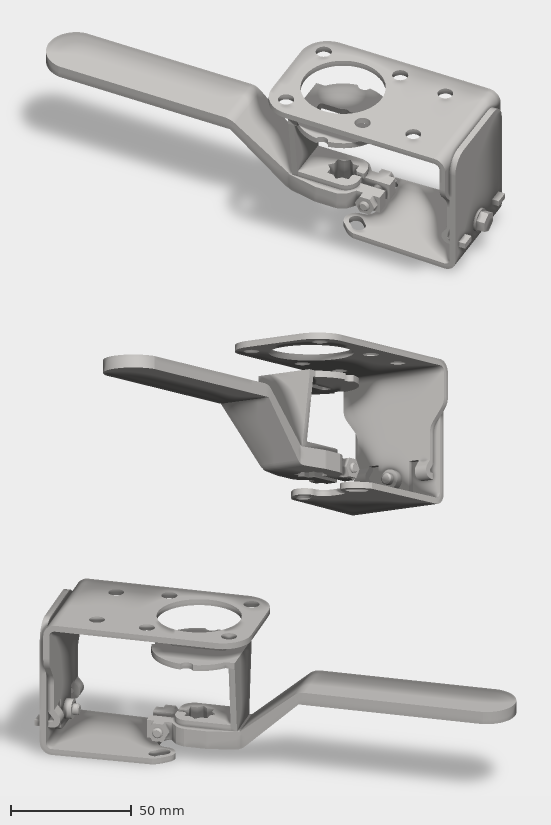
import cadquery as cq
import math

SHEET = 2.6
BEND_INSIDE = 2.5
BEND_OUTSIDE = BEND_INSIDE + SHEET
THREAD_CHAMFER = 0.6
STEM_X = 135.8

TOTAL_HEIGHT = 60.0
CONTACT_X = 195.7

UPPER_START_X = 109.5
UPPER_WIDTH = 52.0
UPPER_CORNER_R = 12.2
STEM_OPENING_D = 35.3
FLANGE_HOLE_PITCH = 35.3
FLANGE_HOLE_D = 6.7
REAR_HOLE_X = 175.5
REAR_HOLE_PITCH = 30.0
REAR_HOLE_D = 6.5
SHOULDER_TOP_Z = 42.0
SHOULDER_BOTTOM_Z = 32.9
SHOULDER_R = 7.3

HOOK_OUTER_Y = 18.7
HOOK_INNER_Y = 12.8
HOOK_SLIT_TOP_Z = 19.5
HOOK_FOOT_Z = 11.0
HOOK_LEAN = 39.0
HOOK_BEND_X = 193.8
HOOK_BEND_INSIDE = 0.8
HOOK_END_X = 201.3
TONGUE_HALF_WIDTH = 8.0
TONGUE_BOTTOM_Z = 5.3
TONGUE_CORNER_R = 2.0

LOWER_START_X = 142.7
LOWER_WIDTH = 43.6
LOWER_TIP_WIDTH = 41.2
LOWER_HEIGHT = 58.9
LOWER_CORNER_R = 8.0
EAR_R = 5.0
EAR_FIRST_Y = 12.4
EAR_SLOT_STEP = 2.6
PADLOCK_SLOT_W = 5.9
VALLEY_HALF_WIDTH = 2.2

BOLT_Z = 12.2
BOLT_D = 4.9
BOLT_START_X = 187.1
BOLT_END_X = 203.0
COLLAR_D = 8.5
COLLAR_START_X = 189.8
WASHER_D = 10.1
WASHER_T = 1.0
BOLT_HEAD_CORNERS = 9.1

LOCK_X = 117.0
DISC_TOP_Z = 46.3
DISC_R = 19.9
DISC_NOTCH_R = 2.8
DISC_NOTCH_OFFSET = 20.5
WEB_TOP_HALF_WIDTH = 13.2
WEB_FOOT_HALF_WIDTH = 9.5
LOCK_FOOT_END_X = 145.0
LOCK_FOOT_HALF_WIDTH = 9.7
LOCK_FOOT_CORNER_R = 6.0
LOCK_FOOT_SLIT = 2.2
POINTER_SLOT_L = 23.3
POINTER_SLOT_W = 4.3
POINTER_SLOT_CORNER_R = 1.5
POINTER_HOLE_D = 5.7

HUB_BOTTOM_Z = 6.0
HUB_TOP_Z = 14.0
GRIP_BOTTOM_Z = 30.5
GRIP_TOP_Z = 36.0
GRIP_HALF_WIDTH = 12.4
GRIP_END_L = 10.5
NECK_START_X = 89.7
NECK_BLEND_R = 34.5
NECK_HALF_WIDTH = 9.7
SLOPE_TOP_START_X = 89.7
SLOPE_BOTTOM_START_X = 89.7
SLOPE_TOP_END_X = 115.9
SLOPE_BOTTOM_END_X = 115.3
GRIP_BEND_R = 7.3
HUB_BEND_R = 6.0
HUB_HALF_WIDTH = 12.5
HUB_SIDE_START_X = 129.0
HUB_SIDE_END_X = 138.8
HUB_BLEND_R = 5.3
HUB_END_X = 142.7
LUG_START_X = 145.5
LUG_END_X = 156.3
LUG_HALF_WIDTH = 7.3
CLAMP_SLIT = 4.0
STEM_SQUARE = 10.0
CLAMP_SCREW_X = 150.8
CLAMP_SCREW_D = 4.5
CLAMP_SCREW_HALF_L = 11.5
CLAMP_NUT_CORNERS = 9.1
CLAMP_NUT_T = 3.0


def box(x0, x1, y0, y1, z0, z1):
    """Axis-aligned block between two opposite corners."""
    return cq.Workplane("XY").box(x1 - x0, y1 - y0, z1 - z0, centered=False).translate((x0, y0, z0))


def slab(z0, z1):
    """Sketch plane at z0 together with the height up to z1."""
    return cq.Workplane("XY").workplane(offset=z0), z1 - z0


def side_profile(points, width):
    """Solid with the given X-Z outline, centred on Y = 0."""
    return cq.Workplane("XZ").polyline(points).close().extrude(width / 2, both=True)


def round_at(solid, x, z, radius):
    """Fillet the edge running along Y through the given X-Z point."""
    margin = 0.1
    reach = 101.5
    selector = cq.selectors.BoxSelector(
        (x - margin, -reach, z - margin), (x + margin, reach, z + margin))
    return solid.edges("|Y").edges(selector).fillet(radius)


def x_cylinder(diameter, x0, x1):
    """Cylinder on the bracket bolt axis."""
    return cq.Workplane("YZ").workplane(offset=x0).center(0, BOLT_Z).circle(diameter / 2).extrude(x1 - x0)


def mirrored(solid):
    """The solid together with its copy on the other side of Y = 0."""
    return solid.union(solid.mirror("XZ"))


def upper_blank():
    """Top flange and upright, bent from one sheet."""
    inner_x = CONTACT_X - SHEET
    under_z = TOTAL_HEIGHT - SHEET
    blank = side_profile([
        (UPPER_START_X, TOTAL_HEIGHT), (CONTACT_X, TOTAL_HEIGHT), (CONTACT_X, TONGUE_BOTTOM_Z),
        (inner_x, TONGUE_BOTTOM_Z), (inner_x, under_z), (UPPER_START_X, under_z),
    ], UPPER_WIDTH)
    blank = round_at(blank, CONTACT_X, TOTAL_HEIGHT, BEND_OUTSIDE)
    blank = round_at(blank, inner_x, under_z, BEND_INSIDE)
    return blank.edges("|Z").edges("<X").fillet(UPPER_CORNER_R)


def upright_side_relief():
    """Material removed beside the upright: shoulders, hook slits and below the hooks."""
    inner_x = CONTACT_X - SHEET
    outside = UPPER_WIDTH
    shoulder = (
        cq.Workplane("YZ").workplane(offset=inner_x)
        .polyline([
            (UPPER_WIDTH / 2, SHOULDER_TOP_Z), (HOOK_OUTER_Y, SHOULDER_BOTTOM_Z),
            (HOOK_OUTER_Y, 0), (outside, 0), (outside, SHOULDER_TOP_Z),
        ]).close().extrude(SHEET)
    )
    slit = box(inner_x, CONTACT_X, TONGUE_HALF_WIDTH, HOOK_INNER_Y, 0, HOOK_SLIT_TOP_Z)
    below = box(inner_x, CONTACT_X, HOOK_INNER_Y, outside, 0, hook_root_z(HOOK_BEND_INSIDE + SHEET, inner_x))
    return mirrored(shoulder.union(slit).union(below))


def round_shoulders(upright):
    """Blend the narrowing of the upright."""
    margin = 0.2
    for side in (1, -1):
        for y, z in ((UPPER_WIDTH / 2, SHOULDER_TOP_Z), (HOOK_OUTER_Y, SHOULDER_BOTTOM_Z)):
            corner = cq.selectors.BoxSelector(
                (0, side * y - margin, z - margin), (BOLT_END_X, side * y + margin, z + margin))
            upright = upright.edges("|X").edges(corner).fillet(SHOULDER_R)
    return upright


def upper_holes():
    """Stem opening, four flange holes and two rear holes."""
    plane, depth = slab(TOTAL_HEIGHT - SHEET, TOTAL_HEIGHT)
    plane = plane.center(STEM_X, 0)
    opening = plane.circle(STEM_OPENING_D / 2).extrude(depth)
    flange = plane.rect(FLANGE_HOLE_PITCH, FLANGE_HOLE_PITCH, forConstruction=True).vertices()
    flange = flange.circle(FLANGE_HOLE_D / 2).extrude(depth)
    half_pitch = REAR_HOLE_PITCH / 2
    rear = plane.center(REAR_HOLE_X - STEM_X, 0).pushPoints([(0, half_pitch), (0, -half_pitch)])
    rear = rear.circle(REAR_HOLE_D / 2).extrude(depth)
    return opening.union(flange).union(rear)


def bend_point(radius, angle):
    """X-Z point on the hook bend, the angle measured upward from the -X direction."""
    centre_z = HOOK_FOOT_Z + SHEET + HOOK_BEND_INSIDE
    turn = math.radians(angle)
    return (HOOK_BEND_X - radius * math.cos(turn), centre_z + radius * math.sin(turn))


def hook_root_z(radius, upright_x):
    """Height where a slanted hook face meets a face of the upright."""
    x, z = bend_point(radius, HOOK_LEAN)
    return z + (upright_x - x) / math.tan(math.radians(HOOK_LEAN))


def hook():
    """Hook that slants away from the upright and curls back through the lower upright."""
    inner_x = CONTACT_X - SHEET
    inside = HOOK_BEND_INSIDE
    outside = inside + SHEET
    middle_angle = (HOOK_LEAN - 90) / 2
    foot_top = HOOK_FOOT_Z + SHEET
    outer_root = hook_root_z(outside, inner_x)
    profile = (
        cq.Workplane("XZ").moveTo(inner_x, outer_root)
        .lineTo(*bend_point(outside, HOOK_LEAN))
        .threePointArc(bend_point(outside, middle_angle), bend_point(outside, -90))
        .lineTo(HOOK_END_X, HOOK_FOOT_Z).lineTo(HOOK_END_X, foot_top)
        .lineTo(*bend_point(inside, -90))
        .threePointArc(bend_point(inside, middle_angle), bend_point(inside, HOOK_LEAN))
        .lineTo(CONTACT_X, hook_root_z(inside, CONTACT_X)).lineTo(CONTACT_X, outer_root).close()
        .extrude((HOOK_OUTER_Y - HOOK_INNER_Y) / 2, both=True)
    )
    return profile.translate((0, (HOOK_OUTER_Y + HOOK_INNER_Y) / 2, 0))


def upper_bracket():
    upright = round_shoulders(upper_blank().cut(upright_side_relief()))
    upright = upright.edges("|X").edges("<Z").fillet(TONGUE_CORNER_R)
    return upright.cut(upper_holes()).union(mirrored(hook()))


def lower_blank():
    """Bottom flange and upright, bent from one sheet."""
    outer_x = CONTACT_X + SHEET
    blank = side_profile([
        (LOWER_START_X, 0), (outer_x, 0), (outer_x, LOWER_HEIGHT),
        (CONTACT_X, LOWER_HEIGHT), (CONTACT_X, SHEET), (LOWER_START_X, SHEET),
    ], LOWER_WIDTH)
    blank = round_at(blank, outer_x, 0, BEND_OUTSIDE)
    blank = round_at(blank, CONTACT_X, SHEET, BEND_INSIDE)
    return blank.edges("|X").edges(">Z").fillet(LOWER_CORNER_R)


def lower_flange_outline():
    """Plan of the bottom flange: tapered sides, two padlock ears and the valley between."""
    root_x = CONTACT_X + SHEET
    diagonal = EAR_R * math.sqrt(0.5)
    first = (LOWER_START_X + EAR_R, EAR_FIRST_Y)
    second = (first[0] + EAR_SLOT_STEP, first[1] + EAR_SLOT_STEP)
    ear_inner_y = EAR_FIRST_Y - EAR_R
    valley_r = ear_inner_y - VALLEY_HALF_WIDTH
    valley_x = first[0] + valley_r
    valley_diagonal = valley_r * math.sqrt(0.5)
    plane, height = slab(0, SHEET)
    half = (
        plane.moveTo(root_x, 0).lineTo(root_x, LOWER_WIDTH / 2)
        .lineTo(CONTACT_X - BEND_INSIDE, LOWER_WIDTH / 2)
        .lineTo(second[0], LOWER_TIP_WIDTH / 2)
        .threePointArc(
            (second[0] - EAR_R * math.sin(math.pi / 8), second[1] + EAR_R * math.cos(math.pi / 8)),
            (second[0] - diagonal, second[1] + diagonal))
        .lineTo(first[0] - diagonal, first[1] + diagonal)
        .threePointArc((LOWER_START_X, first[1]), (first[0], ear_inner_y))
        .threePointArc(
            (first[0] + valley_diagonal, VALLEY_HALF_WIDTH + valley_diagonal),
            (valley_x, VALLEY_HALF_WIDTH))
        .lineTo(valley_x, 0).close().extrude(height)
    )
    return mirrored(half)


def padlock_slots():
    """Obround slots across the two ears."""
    length = EAR_SLOT_STEP * math.sqrt(2) + PADLOCK_SLOT_W
    x = LOWER_START_X + EAR_R + EAR_SLOT_STEP / 2
    y = EAR_FIRST_Y + EAR_SLOT_STEP / 2
    plane, height = slab(0, SHEET)
    return mirrored(plane.center(x, y).slot2D(length, PADLOCK_SLOT_W, 45).extrude(height))


def lower_bracket():
    blank = lower_blank()
    flange_x = CONTACT_X - BEND_INSIDE
    flat = box(LOWER_START_X, flange_x, -LOWER_WIDTH, LOWER_WIDTH, 0, SHEET)
    flange = lower_flange_outline().intersect(flat)
    return blank.cut(flat).union(flange).cut(padlock_slots())


def bracket_bolt():
    """Bolt through both uprights with its collar, washer and hexagon head."""
    outer_x = CONTACT_X + SHEET
    head_x = outer_x + WASHER_T
    shank = x_cylinder(BOLT_D, BOLT_START_X, BOLT_END_X).faces("<X").chamfer(THREAD_CHAMFER)
    collar = x_cylinder(COLLAR_D, COLLAR_START_X, CONTACT_X)
    washer = x_cylinder(WASHER_D, outer_x, head_x)
    head = (
        cq.Workplane("YZ").workplane(offset=head_x).center(0, BOLT_Z)
        .transformed(rotate=(0, 0, 90)).polygon(6, BOLT_HEAD_CORNERS).extrude(BOLT_END_X - head_x)
    )
    return shank.union(collar).union(washer).union(head)


def make_bracket():
    """Both bent sheets joined by the hooks and the bolt."""
    return upper_bracket().union(lower_bracket()).union(bracket_bolt())


def stem_bore(z0, z1):
    plane, height = slab(z0, z1)
    square = plane.center(STEM_X, 0).rect(STEM_SQUARE, STEM_SQUARE).extrude(height)
    return square.union(square.rotate((STEM_X, 0, 0), (STEM_X, 0, 1), 45))


def lock_disc():
    """Top disc with three edge notches, a straight-sided neck and the pointer slot."""
    plane, height = slab(DISC_TOP_Z - SHEET, DISC_TOP_Z)
    disc = plane.center(STEM_X, 0).circle(DISC_R).extrude(height)
    neck = box(LOCK_X, STEM_X, -WEB_TOP_HALF_WIDTH, WEB_TOP_HALF_WIDTH, DISC_TOP_Z - SHEET, DISC_TOP_Z)
    beyond = box(STEM_X - 2 * DISC_R, LOCK_X, -DISC_R, DISC_R, DISC_TOP_Z - SHEET, DISC_TOP_Z)
    notches = plane.center(STEM_X, 0).pushPoints([
        (DISC_NOTCH_OFFSET, 0), (0, DISC_NOTCH_OFFSET), (0, -DISC_NOTCH_OFFSET)])
    notches = notches.circle(DISC_NOTCH_R).extrude(height)
    slot = plane.center(STEM_X, 0).rect(POINTER_SLOT_L, POINTER_SLOT_W).extrude(height)
    slot = slot.edges("|Z").fillet(POINTER_SLOT_CORNER_R)
    hole = plane.center(STEM_X, 0).circle(POINTER_HOLE_D / 2).extrude(height)
    return disc.union(neck).cut(beyond).cut(notches).cut(slot).cut(hole)


def lock_web():
    """Tapered upright between the disc and the foot."""
    top_z = DISC_TOP_Z - SHEET
    return (
        cq.Workplane("YZ").workplane(offset=LOCK_X)
        .polyline([
            (-WEB_FOOT_HALF_WIDTH, HUB_TOP_Z), (WEB_FOOT_HALF_WIDTH, HUB_TOP_Z),
            (WEB_TOP_HALF_WIDTH, top_z), (-WEB_TOP_HALF_WIDTH, top_z),
        ]).close().extrude(SHEET)
    )


def lock_foot():
    """Foot lying on the handle hub, bored for the stem and slit at its end."""
    top_z = HUB_TOP_Z + SHEET
    plane, height = slab(HUB_TOP_Z, top_z)
    foot = plane.polyline([
        (LOCK_X, -WEB_FOOT_HALF_WIDTH), (LOCK_FOOT_END_X, -LOCK_FOOT_HALF_WIDTH),
        (LOCK_FOOT_END_X, LOCK_FOOT_HALF_WIDTH), (LOCK_X, WEB_FOOT_HALF_WIDTH),
    ]).close().extrude(height)
    foot = foot.edges("|Z").edges(">X").fillet(LOCK_FOOT_CORNER_R)
    slit = box(STEM_X, LOCK_FOOT_END_X, -LOCK_FOOT_SLIT / 2, LOCK_FOOT_SLIT / 2, HUB_TOP_Z, top_z)
    return foot.cut(slit).cut(stem_bore(HUB_TOP_Z, top_z))


def make_lock_plate():
    return lock_disc().union(lock_web()).union(lock_foot())


def handle_blank():
    """Side profile of grip, slope and hub, trimmed to the plan outline."""
    bar = side_profile([
        (0, GRIP_BOTTOM_Z), (SLOPE_BOTTOM_START_X, GRIP_BOTTOM_Z), (SLOPE_BOTTOM_END_X, HUB_BOTTOM_Z),
        (LUG_END_X, HUB_BOTTOM_Z), (LUG_END_X, HUB_TOP_Z), (SLOPE_TOP_END_X, HUB_TOP_Z),
        (SLOPE_TOP_START_X, GRIP_TOP_Z), (0, GRIP_TOP_Z),
    ], 2 * UPPER_WIDTH)
    bar = round_at(bar, SLOPE_TOP_START_X, GRIP_TOP_Z, GRIP_BEND_R)
    bar = round_at(bar, SLOPE_BOTTOM_END_X, HUB_BOTTOM_Z, HUB_BEND_R)
    return bar.intersect(handle_plan())


def hub_side_y(x):
    """Half width of the rounded hub end, an arc about the stem axis."""
    radius = math.hypot(HUB_SIDE_END_X - STEM_X, HUB_HALF_WIDTH)
    return math.sqrt(radius ** 2 - (x - STEM_X) ** 2)


def round_plan(solid, x, y, radius):
    """Fillet the upright edge through the given X-Y point."""
    margin = 0.1
    corner = cq.selectors.BoxSelector(
        (x - margin, y - margin, 0), (x + margin, y + margin, TOTAL_HEIGHT))
    return solid.edges("|Z").edges(corner).fillet(radius)


def handle_plan():
    """Plan outline: rounded grip, tapering neck, hub and clamp lugs."""
    end_radius = (GRIP_END_L ** 2 + GRIP_HALF_WIDTH ** 2) / (2 * GRIP_END_L)
    tip_y = GRIP_HALF_WIDTH / 2
    tip_x = end_radius - math.sqrt(end_radius ** 2 - tip_y ** 2)
    middle_x = (HUB_SIDE_END_X + HUB_END_X) / 2
    plane, height = slab(0, TOTAL_HEIGHT)
    half = (
        plane.moveTo(GRIP_END_L, 0).lineTo(0, 0)
        .threePointArc((tip_x, tip_y), (GRIP_END_L, GRIP_HALF_WIDTH))
        .lineTo(NECK_START_X, GRIP_HALF_WIDTH)
        .lineTo(SLOPE_BOTTOM_END_X, NECK_HALF_WIDTH)
        .lineTo(HUB_SIDE_START_X, HUB_HALF_WIDTH)
        .lineTo(HUB_SIDE_END_X, HUB_HALF_WIDTH)
        .threePointArc((middle_x, hub_side_y(middle_x)), (HUB_END_X, hub_side_y(HUB_END_X)))
        .lineTo(LUG_START_X, LUG_HALF_WIDTH)
        .lineTo(LUG_END_X, LUG_HALF_WIDTH)
        .lineTo(LUG_END_X, 0).close().extrude(height)
    )
    half = round_plan(half, NECK_START_X, GRIP_HALF_WIDTH, NECK_BLEND_R)
    half = round_plan(half, HUB_SIDE_START_X, HUB_HALF_WIDTH, HUB_BLEND_R)
    return mirrored(half)


def clamp_screw():
    """Screw across the clamp lugs with a hexagon at each end."""
    middle_z = (HUB_BOTTOM_Z + HUB_TOP_Z) / 2
    plane = cq.Workplane("XZ").center(CLAMP_SCREW_X, middle_z)
    shank = plane.circle(CLAMP_SCREW_D / 2).extrude(CLAMP_SCREW_HALF_L, both=True)
    shank = shank.faces("<Y or >Y").chamfer(THREAD_CHAMFER)
    nut = plane.workplane(offset=LUG_HALF_WIDTH).polygon(6, CLAMP_NUT_CORNERS).extrude(CLAMP_NUT_T)
    return shank.union(mirrored(nut))


def make_handle():
    slit = box(STEM_X, LUG_END_X, -CLAMP_SLIT / 2, CLAMP_SLIT / 2, HUB_BOTTOM_Z, HUB_TOP_Z)
    body = handle_blank().cut(slit).cut(stem_bore(HUB_BOTTOM_Z, HUB_TOP_Z))
    return body.union(clamp_screw())


bracket = make_bracket()
lock_plate = make_lock_plate()
handle = make_handle()

result = cq.Compound.makeCompound([bracket.val(), lock_plate.val(), handle.val()])